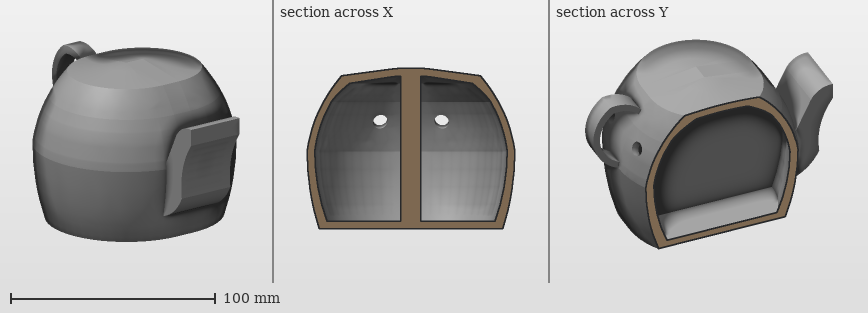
import cadquery as cq
import math

slab_width = 10.0
base_radius = 40.0
belly_radius = 46.0
shoulder_radius = 38.0
rim_radius = 29.0
belly_height = 38.0
shoulder_height = 62.2
rim_height = 75.0
top_height = 79.0
lower_bulge = 1.5
upper_bulge = 1.2
neck_bulge = 0.4
wall = 4.0

eye_diameter = 7.0
eye_spacing = 30.0
eye_height = 54.4
eye_mouth_x = -41.2
eye_tilt = 25.0
eye_reach_out = 5.0
eye_reach_in = 9.9

handle_left = -59.3
handle_back_radius = 20.9
handle_back_thickness = 4.2
handle_back_center = (handle_left + handle_back_radius, 57.6)
handle_crown_radius = 17.5
handle_crown_center = (-47.0, 57.6)
handle_inner_crown_radius = 14.7
handle_inner_crown_center = (-45.7, 56.5)
handle_root_angle = 25.0
handle_foot_x = -44.5
handle_notch = (-47.5, 42.7)
handle_notch_end = (-44.5, 40.8)

spout_width = 30.0
spout_tip_x = 64.3
spout_tip_top = 63.3
spout_tip_bottom = 55.0
spout_crown_start = (52.5, 57.2)
spout_crown_radius = 12.1
spout_throat = (57.0, 26.0)
spout_throat_radius = 38.3
spout_belly_radius = 24.7
spout_root_top = (42.0, 36.2)
spout_root_bottom = (40.8, 12.7)


def bowed_middle(start, end, bulge):
    """Middle point of an arc that bows out to the right of the way from start to end."""
    across = end[0] - start[0]
    up = end[1] - start[1]
    chord = math.hypot(across, up)
    return (
        (start[0] + end[0]) / 2 + bulge * up / chord,
        (start[1] + end[1]) / 2 - bulge * across / chord,
    )


def half_profile(inset=0.0):
    """Body outline on the +X side of its axis, moved in by the inset on every side."""
    base = (base_radius - inset, inset)
    belly = (belly_radius - inset, belly_height)
    shoulder = (shoulder_radius - inset, shoulder_height)
    rim = (rim_radius - inset, rim_height - inset)
    return (
        cq.Workplane("XZ")
        .moveTo(0, inset)
        .lineTo(*base)
        .threePointArc(bowed_middle(base, belly, lower_bulge), belly)
        .threePointArc(bowed_middle(belly, shoulder, upper_bulge), shoulder)
        .threePointArc(bowed_middle(shoulder, rim, neck_bulge), rim)
        .lineTo(0, top_height - inset)
        .close()
    )


def rounded_ends(inset=0.0):
    """The half-turned ends on the +Y and -Y sides of the slab."""
    back = half_profile(inset).revolve(180, (0, 0), (0, 1)).translate((0, slab_width / 2, 0))
    return back, back.mirror("XZ")


def body():
    half_slab = half_profile().extrude(slab_width / 2, both=True)
    solid = half_slab.union(half_slab.mirror("YZ"))
    for end in rounded_ends():
        solid = solid.union(end)
    return solid


def point_on(center, radius, degrees):
    angle = math.radians(degrees)
    return (center[0] + radius * math.cos(angle), center[1] + radius * math.sin(angle))


def circles_meet(center_a, radius_a, center_b, radius_b):
    """Upper crossing point of two circles, with center_a to the right of center_b."""
    dx = center_b[0] - center_a[0]
    dz = center_b[1] - center_a[1]
    gap = math.hypot(dx, dz)
    along = (gap**2 + radius_a**2 - radius_b**2) / (2 * gap)
    off = math.sqrt(radius_a**2 - along**2)
    return (
        center_a[0] + (along * dx + off * dz) / gap,
        center_a[1] + (along * dz - off * dx) / gap,
    )


def handle():
    inner_back_radius = handle_back_radius - handle_back_thickness
    outer_corner = circles_meet(
        handle_back_center, handle_back_radius, handle_crown_center, handle_crown_radius
    )
    inner_corner = circles_meet(
        handle_back_center, inner_back_radius, handle_inner_crown_center, handle_inner_crown_radius
    )
    outer_root = point_on(handle_crown_center, handle_crown_radius, handle_root_angle)
    inner_root = point_on(handle_inner_crown_center, handle_inner_crown_radius, handle_root_angle)
    foot_offset = handle_foot_x - handle_back_center[0]
    foot = (
        handle_foot_x,
        handle_back_center[1] - math.sqrt(handle_back_radius**2 - foot_offset**2),
    )
    return (
        cq.Workplane("XZ")
        .moveTo(*foot)
        .radiusArc(outer_corner, handle_back_radius)
        .radiusArc(outer_root, handle_crown_radius)
        .lineTo(*inner_root)
        .radiusArc(inner_corner, -handle_inner_crown_radius)
        .radiusArc(handle_notch, -inner_back_radius)
        .lineTo(*handle_notch_end)
        .close()
        .extrude(slab_width / 2, both=True)
    )


def spout():
    return (
        cq.Workplane("XZ")
        .moveTo(*spout_root_top)
        .lineTo(*spout_crown_start)
        .radiusArc((spout_tip_x, spout_tip_top), spout_crown_radius)
        .lineTo(spout_tip_x, spout_tip_bottom)
        .radiusArc(spout_throat, -spout_throat_radius)
        .radiusArc(spout_root_bottom, spout_belly_radius)
        .close()
        .extrude(spout_width / 2, both=True)
    )


def eye_hole(y):
    tilt = math.radians(eye_tilt)
    inward = cq.Vector(math.cos(tilt), 0, -math.sin(tilt))
    start = cq.Vector(eye_mouth_x, y, eye_height) - inward * eye_reach_out
    return cq.Solid.makeCylinder(eye_diameter / 2, eye_reach_out + eye_reach_in, start, inward)


result = body().union(handle()).union(spout())
for hollow in rounded_ends(wall):
    result = result.cut(hollow)
for side in (-1, 1):
    result = result.cut(cq.Workplane(eye_hole(side * eye_spacing / 2)))